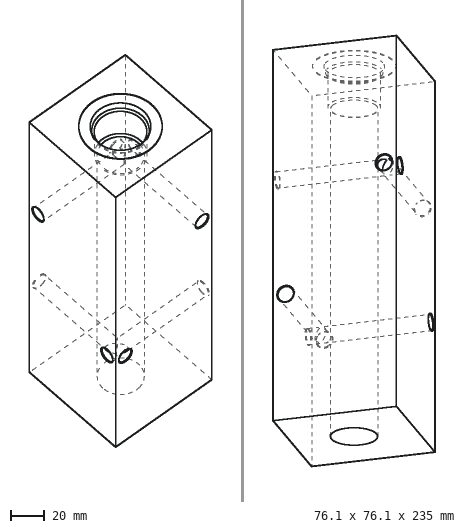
import cadquery as cq

height = 235.0
width = 76.1

spotface_diameter = 49.0
spotface_depth = 0.5
seat_diameter = 35.7
seat_floor_diameter = 33.8
seat_depth = 3.8
thread_diameter = 31.0
lead_in_depth = 1.2
port_depth = 25.8
bore_diameter = 27.7
transition_depth = 1.0

hole_diameter = 9.6
hole_mouth_diameter = 10.5
hole_chamfer = (hole_mouth_diameter - hole_diameter) / 2
hole_edge_distance = 7.8
hole_offset = width / 2 - hole_edge_distance
hole_spacing = width


def make_port_cutter():
    """Stepped round cutter for the port and the bore that runs through the block."""
    spotface_floor = height - spotface_depth
    seat_floor = spotface_floor - seat_depth
    thread_start = seat_floor - lead_in_depth
    thread_end = spotface_floor - port_depth
    profile = [
        (0, 0),
        (bore_diameter / 2, 0),
        (bore_diameter / 2, thread_end - transition_depth),
        (thread_diameter / 2, thread_end),
        (thread_diameter / 2, thread_start),
        (seat_floor_diameter / 2, seat_floor),
        (seat_diameter / 2, spotface_floor),
        (spotface_diameter / 2, spotface_floor),
        (spotface_diameter / 2, height),
        (0, height),
    ]
    return cq.Workplane("XZ").polyline(profile).close().revolve(360, (0, 0), (0, 1))


def make_cross_hole_cutter():
    """Cutter along X through the whole width, widened by a chamfer at both ends."""
    half_width = width / 2
    profile = [
        (-half_width, 0),
        (-half_width, hole_mouth_diameter / 2),
        (-half_width + hole_chamfer, hole_diameter / 2),
        (half_width - hole_chamfer, hole_diameter / 2),
        (half_width, hole_mouth_diameter / 2),
        (half_width, 0),
    ]
    return cq.Workplane("XY").polyline(profile).close().revolve(360, (0, 0), (1, 0))


body = cq.Workplane("XY").box(width, width, height, centered=(True, True, False))
body = body.cut(make_port_cutter())

for side in (1, -1):
    hole_height = height / 2 + side * hole_spacing / 2
    x_hole = make_cross_hole_cutter().translate((0, side * hole_offset, hole_height))
    y_hole = x_hole.rotate((0, 0, 0), (0, 0, 1), 90)
    body = body.cut(x_hole).cut(y_hole)

result = body